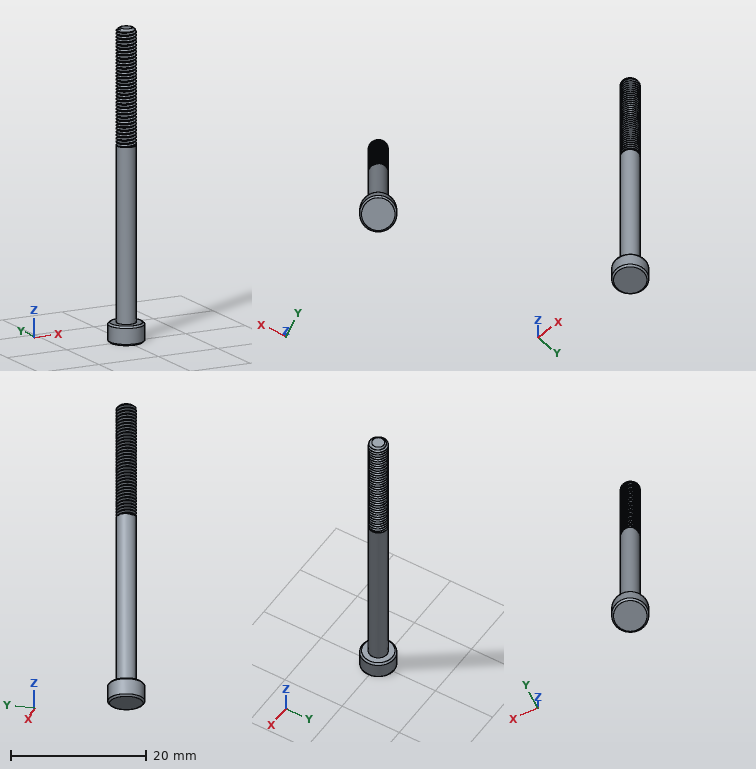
import cadquery as cq
overall_length = 48.0
head_diameter = 5.5
head_chamfer = 0.3

head_height = overall_length / 16
shank_diameter = head_height
shank_radius = shank_diameter / 2

thread_pitch = shank_diameter / 6
thread_turns = 36
thread_length = thread_turns * thread_pitch
thread_depth = 0.61 * thread_pitch
thread_bottom = overall_length - thread_length
root_radius = shank_radius - thread_depth
root_flat = thread_pitch / 8
crest_flat = thread_pitch / 8
thread_start_angle = 292.0

tip_flat_radius = 0.95
tip_height = 0.4


def make_head():
    """Plain cylindrical head with both rims chamfered."""
    head = cq.Workplane("XY").circle(head_diameter / 2).extrude(head_height)
    return head.edges().chamfer(head_chamfer)


def make_shank():
    """Smooth shank from the head up to the thread."""
    return (
        cq.Workplane("XY")
        .workplane(offset=head_height)
        .circle(shank_radius)
        .extrude(thread_bottom - head_height)
    )


def make_thread_skin():
    """Open right-hand helical surface, running one turn past each end of the thread."""
    half_root = root_flat / 2
    half_mouth = (thread_pitch - crest_flat) / 2
    corners = [
        (root_radius, -half_root),
        (root_radius, half_root),
        (shank_radius, half_mouth),
        (shank_radius, half_mouth + crest_flat),
        (root_radius, thread_pitch - half_root),
    ]
    edges = [
        cq.Wire.makeHelix(thread_pitch, thread_pitch, radius, center=cq.Vector(0, 0, height)).Edges()[0]
        for radius, height in corners
    ]
    strips = [cq.Face.makeRuledSurface(low, high) for low, high in zip(edges, edges[1:])]
    faces = []
    for turn in range(-2, thread_turns + 1):
        rise = cq.Vector(0, 0, thread_bottom + turn * thread_pitch)
        faces += [strip.translate(rise) for strip in strips]
    return cq.Shell.makeShell(faces).rotate((0, 0, 0), (0, 0, 1), thread_start_angle)


def make_thread():
    """Threaded rod with flat ends: the part of a wide disc that lies inside the helical skin."""
    disc = cq.Workplane("XY").workplane(offset=thread_bottom).circle(shank_diameter).extrude(thread_length)
    pieces = disc.val().split(make_thread_skin()).Solids()
    return cq.Workplane(min(pieces, key=lambda piece: piece.BoundingBox().xlen))


def make_tip_cutter():
    """Ring that tapers the end of the thread down to a small flat."""
    taper_slope = (shank_radius - tip_flat_radius) / tip_height
    clearance = 0.25
    half_profile = [
        (tip_flat_radius, overall_length),
        (shank_radius + taper_slope * clearance, overall_length - tip_height - clearance),
        (shank_radius + taper_slope * clearance, overall_length + clearance),
        (tip_flat_radius, overall_length + clearance),
    ]
    return cq.Workplane("XZ").polyline(half_profile).close().revolve(360, (0, 0), (0, 1))


threaded_end = make_thread().cut(make_tip_cutter())
result = make_head().union(make_shank()).union(threaded_end)